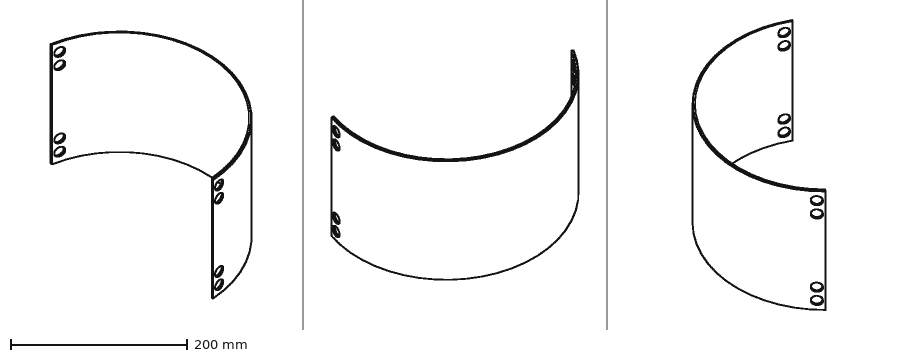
import cadquery as cq

width = 298.0
depth = 132.0
thickness = 3.0
height = 180.0
hole_diameter = 12.8
hole_end_offset = 9.8
hole_edge_offset = 15.0
hole_pitch = 20.0
mouth_chamfer = 0.5
rim_chamfer = 1.0

outer_radius = ((width / 2) ** 2 + depth**2) / (2 * depth)
end_y = outer_radius - depth
inner_radius = outer_radius - thickness


def curved_sheet():
    """Thin cylindrical shell trimmed by a plane parallel to its axis."""
    ring = cq.Workplane("XY").circle(outer_radius).circle(inner_radius).extrude(height)
    kept_side = cq.Workplane("XY").box(
        2 * outer_radius, depth, height, centered=(True, False, False)
    ).translate((0, end_y, 0))
    return ring.intersect(kept_side)


def mounting_holes():
    """Pairs of holes near each corner, running straight through along X."""
    outer_offset = height / 2 - hole_edge_offset
    inner_offset = outer_offset - hole_pitch
    hole_y = end_y + hole_end_offset
    centers = [
        (hole_y, height / 2 + side * offset)
        for side in (-1, 1)
        for offset in (outer_offset, inner_offset)
    ]
    return (
        cq.Workplane("YZ")
        .pushPoints(centers)
        .circle(hole_diameter / 2)
        .extrude(outer_radius, both=True)
    )


def chamfer_hole_mouths(body):
    """Break both mouths of every hole."""
    mouth_edges = body.faces("%CYLINDER").edges("(not |Z) and (not %CIRCLE)")
    return mouth_edges.chamfer(mouth_chamfer)


def chamfer_outer_rims(body):
    """Break the top and bottom rims of the outer face; the straight end edges stay sharp."""
    return body.faces(">Y").edges("%CIRCLE").chamfer(rim_chamfer)


drilled_sheet = curved_sheet().cut(mounting_holes())
result = chamfer_outer_rims(chamfer_hole_mouths(drilled_sheet))